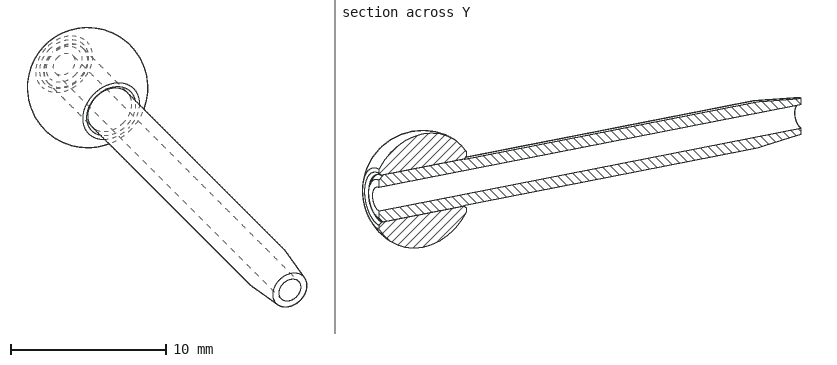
import cadquery as cq

total_length = 31.75

ball_diameter = 7.78
ball_radius = ball_diameter / 2
ball_width = 6.6
ball_mouth_chamfer = 0.2

pin_radius = 1.6
pin_bore_radius = 0.8
pin_end_chamfer = 0.3
tip_length = 3.25
tip_radius = 1.25


def make_ball():
    """Sphere cut flat on both sides, bored for the pin, with chamfered mouths."""
    center_x = ball_width / 2
    flat_radius = (ball_radius**2 - center_x**2) ** 0.5
    mouth_radius = pin_radius + ball_mouth_chamfer
    profile = (
        cq.Workplane("XY")
        .moveTo(0, mouth_radius)
        .lineTo(0, flat_radius)
        .threePointArc((center_x, ball_radius), (ball_width, flat_radius))
        .lineTo(ball_width, mouth_radius)
        .lineTo(ball_width - ball_mouth_chamfer, pin_radius)
        .lineTo(ball_mouth_chamfer, pin_radius)
        .close()
    )
    return profile.revolve(360, (0, 0, 0), (1, 0, 0))


def make_pin():
    """Tube with a chamfered end flush with the ball and a long tapered tip."""
    profile = (
        cq.Workplane("XY")
        .moveTo(0, pin_bore_radius)
        .lineTo(0, pin_radius - pin_end_chamfer)
        .lineTo(pin_end_chamfer, pin_radius)
        .lineTo(total_length - tip_length, pin_radius)
        .lineTo(total_length, tip_radius)
        .lineTo(total_length, pin_bore_radius)
        .close()
    )
    return profile.revolve(360, (0, 0, 0), (1, 0, 0))


ball = make_ball()
pin = make_pin()

result = cq.Compound.makeCompound([ball.val(), pin.val()])